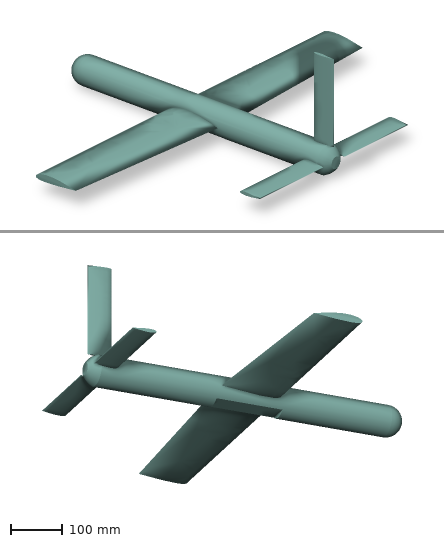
import cadquery as cq
import math

body_length = 670.0
body_radius = 32.0
tail_cap_length = 22.0
tail_cap_arc_radius = 45.0
tail_face_radius = 13.0

belly_start = 260.0
belly_length = 140.0
belly_depth = 8.0

wing_leading_x = 267.0
wing_half_span = 427.0
wing_root_chord = 127.0
wing_tip_chord = 103.0
wing_thickness_ratio = 0.155
wing_camber_ratio = 0.023
wing_camber_position = 0.4

tail_leading_x = 614.0
tail_chord = 51.0
tail_half_span = 221.0
tail_thickness_ratio = 0.15

section_steps = 16


def half_thickness(station, ratio):
    """NACA four-digit half thickness with a closed trailing edge, for unit chord."""
    polynomial = (
        0.2969 * math.sqrt(station)
        - 0.1260 * station
        - 0.3516 * station**2
        + 0.2843 * station**3
        - 0.1036 * station**4
    )
    return 5 * ratio * polynomial


def camber_height(station, camber, position):
    """NACA four-digit camber line, for unit chord."""
    if camber == 0:
        return 0.0
    if station < position:
        return camber / position**2 * (2 * position * station - station**2)
    return camber / (1 - position) ** 2 * (1 - 2 * position + 2 * position * station - station**2)


def section_side(chord, leading_x, ratio, camber, position, side):
    """Points from the leading to the trailing edge; side is +1 above, -1 below."""
    points = []
    for step in range(section_steps + 1):
        station = (1 - math.cos(math.pi * step / section_steps)) / 2
        height = camber_height(station, camber, position) + side * half_thickness(station, ratio)
        points.append((leading_x + chord * station, chord * height))
    points[-1] = (leading_x + chord, 0.0)
    return points


def draw_section(plane, chord, leading_x, ratio, camber=0.0, position=0.0):
    """Closed aerofoil outline: one curve round the nose, sharp at the trailing edge."""
    upper = section_side(chord, leading_x, ratio, camber, position, 1)
    lower = section_side(chord, leading_x, ratio, camber, position, -1)
    outline = upper[::-1] + lower[1:]
    return plane.moveTo(*outline[0]).spline(outline[1:], includeCurrent=True).close()


def make_body():
    """Round body with a hemispherical nose and a convex tail cap that ends in a flat face."""
    tail_start = body_length - tail_cap_length
    profile = (
        cq.Workplane("XZ")
        .moveTo(0, 0)
        .radiusArc((body_radius, body_radius), body_radius)
        .lineTo(tail_start, body_radius)
        .radiusArc((body_length, tail_face_radius), tail_cap_arc_radius)
        .lineTo(body_length, 0)
        .close()
    )
    return profile.revolve(360, (0, 0, 0), (1, 0, 0))


def make_wing_half():
    """Wing half on the -Y side, with its taper carried on to the centre plane."""
    taper = (wing_root_chord - wing_tip_chord) / (wing_half_span - body_radius)
    centre_chord = wing_root_chord + taper * body_radius
    shape = (wing_leading_x, wing_thickness_ratio, wing_camber_ratio, wing_camber_position)
    centre = draw_section(cq.Workplane("XZ"), centre_chord, *shape)
    tip_plane = centre.workplane(offset=wing_half_span)
    return draw_section(tip_plane, wing_tip_chord, *shape).loft(ruled=True)


def make_tail_blade():
    """Tail blade on the -Y side, starting at the centre plane."""
    section = draw_section(cq.Workplane("XZ"), tail_chord, tail_leading_x, tail_thickness_ratio)
    return section.extrude(tail_half_span)


def trim_root(blade):
    """Cut a blade back to the body cylinder, which is carried on past the tail cap."""
    envelope = cq.Workplane("YZ").circle(body_radius).extrude(body_length)
    return blade.cut(envelope)


def make_belly_cutter():
    """Block that takes the flat relief out of the underside."""
    block = cq.Workplane("XY").box(
        belly_length, 2 * body_radius, belly_depth, centered=(False, True, False)
    )
    return block.translate((belly_start, 0, -body_radius))


wing_half = trim_root(make_wing_half())
tail_blade = trim_root(make_tail_blade())
fin = tail_blade.rotate((0, 0, 0), (1, 0, 0), -90)

result = make_body()
for blade in (wing_half, tail_blade):
    result = result.union(blade).union(blade.mirror("XZ"))
result = result.union(fin).cut(make_belly_cutter())